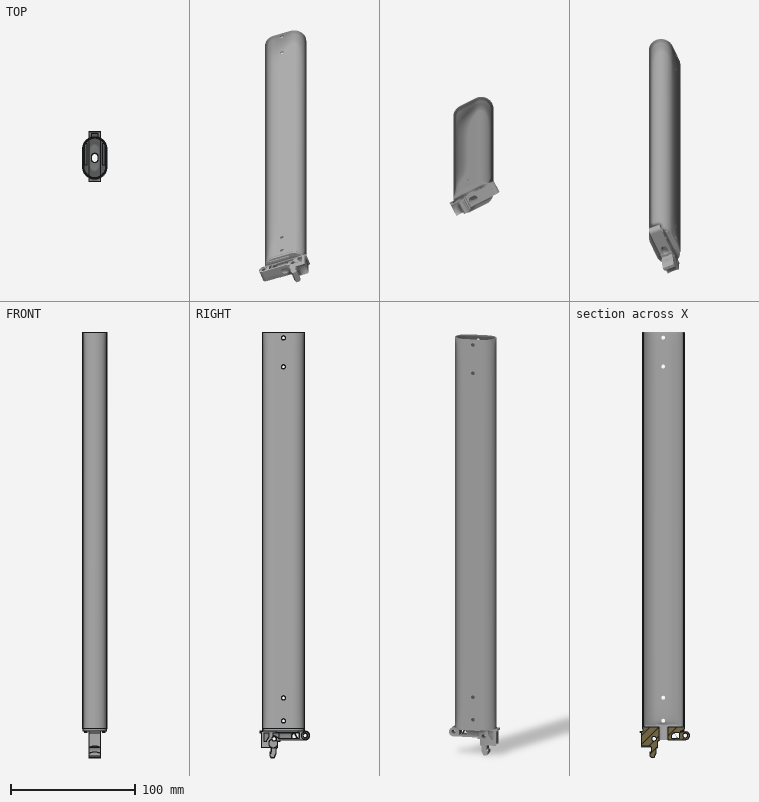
import cadquery as cq

height = 342.8
tube_width = 19.5
tube_length = 34.0
wall = 1.0
tube_bottom = 23.5

plug_bottom = 21.5
plug_inset = 0.17
spigot_height = 2.0
rail_width = 1.7
rail_drop = 1.0
rail_rise = 1.0
rail_offset = 7.2
rail_start = -5.8
rail_end = 11.5

pin_diameter = 3.0
pin_heights = (29.8, 48.3, 315.0, 338.3)

bracket_width = 9.5
channel_depth = 0.7
slot_width = 5.0
slot_length = 7.2

bracket_length = 40.0
bar_height = 7.2
bar_bottom = plug_bottom - bar_height
eye_y = 17.5
eye_radius = bar_height / 2
eye_z = plug_bottom - eye_radius
eye_hole_diameter = 3.5
eye_recess_diameter = 6.0
eye_notch_width = 5.0
eye_notch_depth = 0.7

pocket_top = 20.2
pocket_bottom = 15.8
pocket_depth = 1.7
latch_pocket_depth = 1.0
recess_depth = 0.5
beam_start = 7.0
beam_end = -3.5
window_end = 12.7
window_corner_z = 18.5
web_width = 0.5
web_top_y = 8.5
web_bottom_y = 11.0

lip_end = eye_y + eye_radius - bracket_length
lip_bottom = 20.2
block_end = -17.8
block_bottom = 8.2
arch_rise = 1.5
block_pocket_start = -11.5
block_pocket_end = -15.8
block_pocket_bottom = 13.0

latch_y = -8.2
latch_z = 11.5
latch_diameter = 7.2
neck_end = -2.7
neck_bottom = 13.5
knuckle_side = -4.8
tongue_side = -5.8
bump_end = -11.0
bump_face = -10.0
bump_top = 4.8
bump_crown = 1.5
latch_hole_y = -7.5
latch_hole_z = 15.5
latch_hole_diameter = 3.5


def oval(inset, bottom, top):
    """Vertical oval column, set in from the outside of the tube."""
    sketch = cq.Workplane("XY").workplane(offset=bottom)
    sketch = sketch.slot2D(tube_length - 2 * inset, tube_width - 2 * inset, 90)
    return sketch.extrude(top - bottom)


def across(outline, width):
    """Extrude a YZ outline symmetrically about the middle plane X = 0."""
    return outline.extrude(width / 2, both=True)


def plate(points, width):
    """Flat plate from a list of (Y, Z) corners."""
    return across(cq.Workplane("YZ").polyline(points).close(), width)


def cross_pin(y, z, diameter, width):
    """Round cylinder along X."""
    return across(cq.Workplane("YZ").center(y, z).circle(diameter / 2), width)


def make_tube():
    """Thin oval tube with pin holes through both flats."""
    tube = oval(0, tube_bottom, height).cut(oval(wall, tube_bottom, height))
    for z in pin_heights:
        tube = tube.cut(cross_pin(0, z, pin_diameter, 2 * tube_width))
    return tube


def make_plug():
    """Oval plug with a channel in its floor and a rail along each side."""
    floor = tube_bottom + spigot_height
    plug = oval(plug_inset, plug_bottom, tube_bottom).union(oval(wall, tube_bottom, floor))
    channel = cq.Workplane("XY").box(bracket_width, tube_length - 2 * wall, 2 * channel_depth)
    plug = plug.cut(channel.translate((0, 0, floor)))
    rail_bottom = plug_bottom - rail_drop
    rail_height = floor + rail_rise - rail_bottom
    for side in (-1, 1):
        rail = (
            cq.Workplane("XY", origin=(side * rail_offset, (rail_start + rail_end) / 2, rail_bottom))
            .rect(rail_width, rail_end - rail_start)
            .extrude(rail_height)
        )
        plug = plug.union(rail)
    return plug


def make_arm():
    """Straight bar with a rounded eye at its +Y end."""
    outline = (
        cq.Workplane("YZ")
        .moveTo(latch_y, plug_bottom)
        .lineTo(eye_y, plug_bottom)
        .threePointArc((eye_y + eye_radius, eye_z), (eye_y, bar_bottom))
        .lineTo(latch_y, bar_bottom)
        .close()
    )
    arm = across(outline, bracket_width)
    arm = arm.cut(cross_pin(eye_y, eye_z, eye_hole_diameter, bracket_width))
    notch = cq.Workplane("XY").box(eye_notch_width, 2 * eye_radius, 2 * eye_notch_depth)
    arm = arm.cut(notch.translate((0, eye_y, plug_bottom)))
    eye_window = [
        (window_end, pocket_top),
        (web_top_y + web_width, pocket_top),
        (web_bottom_y + web_width, pocket_bottom),
        (window_end, pocket_bottom),
    ]
    beam_window = [
        (web_top_y, pocket_top),
        (beam_start, window_corner_z),
        (beam_start, pocket_bottom),
        (web_bottom_y, pocket_bottom),
    ]
    for window in (eye_window, beam_window):
        arm = arm.cut(plate(window, bracket_width))
    return arm


def make_block():
    """End block with a top lip and an arched underside."""
    block = plate(
        [
            (latch_y, plug_bottom),
            (lip_end, plug_bottom),
            (lip_end, lip_bottom),
            (block_end, lip_bottom),
            (block_end, block_bottom),
            (latch_y, block_bottom),
        ],
        bracket_width,
    )
    half = bracket_width / 2
    arch = (
        cq.Workplane("XZ", origin=(0, block_end, 0))
        .moveTo(-half, block_bottom)
        .threePointArc((0, block_bottom + arch_rise), (half, block_bottom))
        .close()
        .extrude(block_end - latch_y)
    )
    return block.cut(arch)


def make_latch():
    """Round knuckle under the bar with a tapered tongue hanging below it."""
    knuckle = cross_pin(latch_y, latch_z, latch_diameter, bracket_width)
    neck = plate(
        [
            (neck_end, bar_bottom),
            (neck_end, neck_bottom),
            (knuckle_side, neck_bottom),
            (knuckle_side, latch_z),
            (latch_y, latch_z),
            (latch_y, bar_bottom),
        ],
        bracket_width,
    )
    tongue = plate(
        [
            (knuckle_side, latch_z),
            (knuckle_side, block_bottom),
            (tongue_side, 7.5),
            (tongue_side, 3.8),
            (-7.5, 0),
            (bump_face, 0),
            (bump_end, 1.7),
            (bump_end, bump_top),
            (bump_face, bump_top),
            (bump_face, 7.5),
            (-11.3, latch_z),
        ],
        bracket_width,
    )
    half = bracket_width / 2
    crown = (
        cq.Workplane("XZ", origin=(0, bump_face, 0))
        .moveTo(-half, bump_top - bump_crown)
        .threePointArc((0, bump_top), (half, bump_top - bump_crown))
        .lineTo(half, latch_z)
        .lineTo(-half, latch_z)
        .close()
        .extrude(bracket_width)
    )
    tongue = tongue.cut(crown)
    return knuckle.union(neck).union(tongue)


def sides_only(shape, depth):
    """Keep only the parts of a shape within the given depth of the bracket's two side faces."""
    core = cq.Workplane("XY").box(bracket_width - 2 * depth, 2 * tube_length, 2 * height)
    return shape.cut(core)


def cut_side_pockets(body):
    """Pockets and shallow round recesses on both side faces of the bracket."""
    beam_pocket = [
        (beam_start, pocket_top),
        (beam_end, pocket_top),
        (beam_end, pocket_bottom),
        (beam_start, pocket_bottom),
    ]
    latch_pocket = [(beam_end, pocket_top), (-8.5, pocket_top), (-8.5, 18.0), (-6.5, 17.5), (beam_end, 15.5)]
    block_pocket = [
        (block_pocket_start, pocket_top),
        (block_pocket_end, pocket_top),
        (block_pocket_end, block_pocket_bottom),
        (-14.0, block_pocket_bottom),
        (block_pocket_start, 17.0),
    ]
    pockets = (
        (beam_pocket, pocket_depth),
        (latch_pocket, latch_pocket_depth),
        (block_pocket, pocket_depth),
    )
    for points, depth in pockets:
        body = body.cut(sides_only(plate(points, bracket_width), depth))
    eye_recess = cross_pin(eye_y, eye_z, eye_recess_diameter, bracket_width)
    latch_recess = cross_pin(latch_y, latch_z, latch_diameter, bracket_width)
    for recess in (eye_recess, latch_recess):
        body = body.cut(sides_only(recess, recess_depth))
    return body


bracket = make_arm().union(make_block()).union(make_latch())
bracket = cut_side_pockets(bracket)
bracket = bracket.cut(cross_pin(latch_hole_y, latch_hole_z, latch_hole_diameter, bracket_width))

drain = cq.Workplane("XY").slot2D(slot_length, slot_width, 90).extrude(height)

result = make_tube().union(make_plug()).union(bracket).cut(drain)